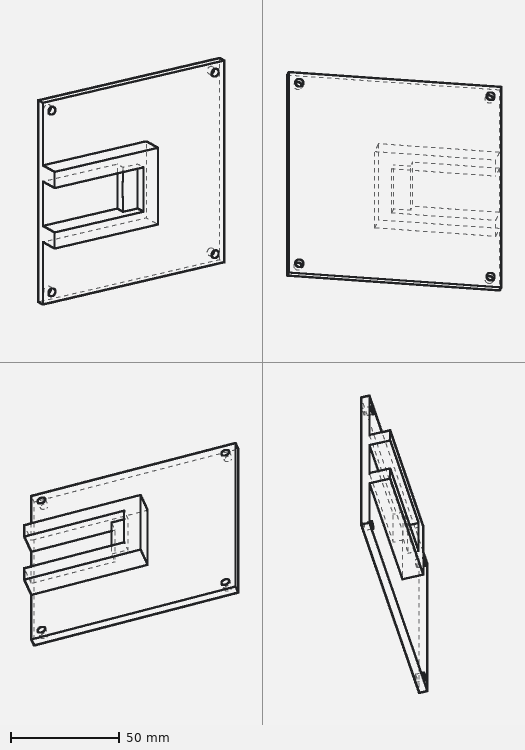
import cadquery as cq

plate_size = 100.0
plate_thickness = 4.0
hole_diameter = 3.75
hole_edge_distance = 5.0

total_depth = 14.0
block_length = 57.0
channel_width = 22.0
wall_thickness = 8.0

ledge_length = 8.0
ledge_edge_height = 5.0
ledge_dip = 0.4

half_plate = plate_size / 2
block_height = total_depth - plate_thickness
channel_length = block_length - wall_thickness
block_width = channel_width + 2 * wall_thickness


def box(x_size, y_size, z_size, x_start, y_start):
    """Box centred on Z = 0 that grows towards +X and +Y from its start corner."""
    return (
        cq.Workplane("XY")
        .box(x_size, y_size, z_size, centered=(False, False, True))
        .translate((x_start, y_start, 0))
    )


def make_plate():
    hole_spacing = plate_size - 2 * hole_edge_distance
    return (
        box(plate_thickness, plate_size, plate_size, 0, -half_plate)
        .faces(">X")
        .workplane(centerOption="CenterOfBoundBox")
        .rect(hole_spacing, hole_spacing, forConstruction=True)
        .vertices()
        .hole(hole_diameter)
    )


def make_block():
    block = box(block_height, block_length, block_width, plate_thickness, -half_plate)
    channel = box(block_height, channel_length, channel_width, plate_thickness, -half_plate)
    return block.cut(channel)


def make_ledge():
    """Saddle-topped step that spans the channel in front of its end wall."""
    half_width = channel_width / 2
    edge_x = plate_thickness + ledge_edge_height
    channel_end = -half_plate + channel_length
    return (
        cq.Workplane("XZ", origin=(0, channel_end, 0))
        .moveTo(plate_thickness, -half_width)
        .lineTo(edge_x, -half_width)
        .threePointArc((edge_x - ledge_dip, 0), (edge_x, half_width))
        .lineTo(plate_thickness, half_width)
        .close()
        .extrude(ledge_length)
    )


result = make_plate().union(make_block()).union(make_ledge())